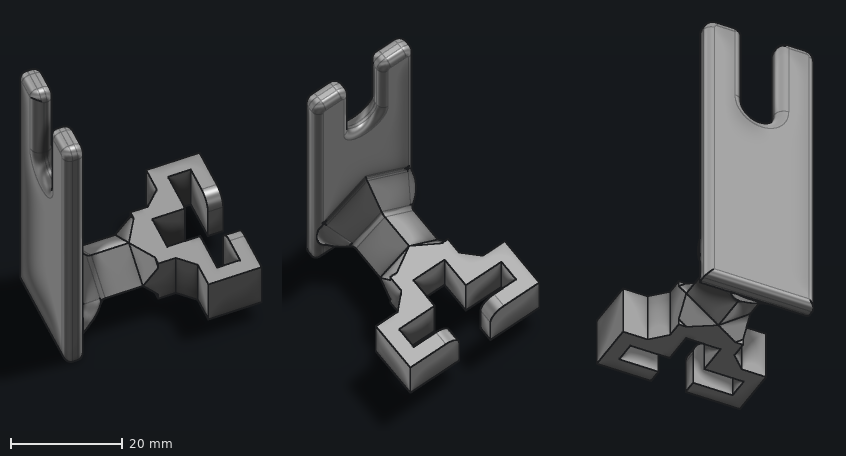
import cadquery as cq
import math

plate_width = 22.0
plate_height = 59.0
plate_thickness = 4.0
plate_corner_radius = 2.0
plate_edge_radius = 1.5

slot_width = 6.95
slot_straight_depth = 16.05
slot_front_radius = 1.95

wall = 3.0
clip_width = 28.9
clip_back = 37.0
clip_height = 10.0
clip_bottom = 4.0
channel_depth = 4.4
stem_slot_depth = 13.85
stem_slot_floor = clip_back - stem_slot_depth
stem_width = slot_width + 2 * wall
stem_axis_z = clip_bottom + clip_height / 2

diamond_half_x = stem_width / 2
diamond_half_z = clip_height / 2
diamond_edge = math.hypot(diamond_half_x, diamond_half_z)
normal_x = diamond_half_z / diamond_edge
normal_z = diamond_half_x / diamond_edge
diamond_start = stem_slot_floor - 2 * wall

flare_start = 9.15
flare_overlap = 0.3
flare_fillet_radius = 1.4
flare_angle = math.radians(45)
fillet_steps = 3
fillet_angles = [flare_angle * step / fillet_steps for step in range(fillet_steps + 1)]
fillet_reach = flare_fillet_radius * math.tan(flare_angle / 2)
stem_end = flare_start + fillet_reach

side_setback = 0.3
side_slope = 1.43
side_bow = 0.1186
bottom_setback = 2.05
bottom_slope = 0.94
bottom_bow = 0.04746


def section_plane(y):
    """Plane across the stem, centred on its axis and facing +Y."""
    return cq.Plane(origin=(0, y, stem_axis_z), xDir=(-1, 0, 0), normal=(0, 1, 0))


def slotted_slab(width, height):
    """Slab with a round-bottomed slot that is open at the top."""
    slot_radius = slot_width / 2
    slot_centre_z = plate_height - slot_straight_depth
    slot_rise = height - slot_centre_z
    slab = cq.Workplane("XY").box(width, plate_thickness, height, centered=(True, False, False))
    slot = (
        cq.Workplane("XZ", origin=(0, 0, slot_centre_z))
        .moveTo(-slot_radius, slot_rise)
        .lineTo(-slot_radius, 0)
        .threePointArc((0, -slot_radius), (slot_radius, 0))
        .lineTo(slot_radius, slot_rise)
        .close()
        .extrude(-plate_thickness)
    )
    return slab.cut(slot)


def make_plate():
    """Fork with rounded edges, trimmed by a larger slab whose slot has a bigger front round."""
    fork = slotted_slab(plate_width, plate_height)
    fork = fork.edges("|Y and >Z").fillet(plate_corner_radius)
    fork = fork.faces("<Y or >Y").edges().fillet(plate_edge_radius)

    trim_height = plate_height + plate_width
    slot_mouth = cq.selectors.BoxSelector(
        (-slot_width, -plate_edge_radius, plate_edge_radius),
        (slot_width, plate_edge_radius, trim_height - plate_edge_radius),
    )
    trim = slotted_slab(2 * plate_width, trim_height)
    trim = trim.faces("<Y").edges(slot_mouth).fillet(slot_front_radius)
    return fork.intersect(trim)


def make_clip():
    """Two-jawed clip with a rectangular stem; the tops of its lips are rounded."""
    half_slot = slot_width / 2
    half_stem = stem_width / 2
    half_clip = clip_width / 2
    half_channel = half_clip - wall
    lip_front = clip_back - wall
    channel_front = lip_front - channel_depth
    shoulder = channel_front - wall
    right_side = [
        (half_stem, stem_end),
        (half_stem, shoulder - wall),
        (half_stem + wall, shoulder),
        (half_clip, shoulder),
        (half_clip, clip_back),
        (half_slot, clip_back),
        (half_slot, lip_front),
        (half_channel, lip_front),
        (half_channel, channel_front),
        (half_slot, channel_front),
        (half_slot, stem_slot_floor),
    ]
    left_side = [(-x, y) for x, y in reversed(right_side)]
    clip = (
        cq.Workplane("XY", origin=(0, 0, clip_bottom))
        .polyline(right_side + left_side)
        .close()
        .extrude(clip_height)
    )
    lip_tops = cq.selectors.BoxSelector(
        (-half_stem, lip_front, stem_axis_z),
        (half_stem, clip_back, clip_bottom + 2 * clip_height),
    )
    return clip.edges("|Y").edges(lip_tops).fillet(wall)


def make_stem_corner_cut(side, level):
    """Wedge that trims one long stem corner to a diamond face, ending in a 45 degree bevel."""
    face_distance = diamond_half_x * normal_x
    outside = stem_width
    bevel_end = diamond_start + wall
    plane = cq.Plane(
        origin=(0, 0, stem_axis_z),
        xDir=(side * normal_x, 0, level * normal_z),
        normal=(-level * normal_z, 0, side * normal_x),
    )
    profile = [
        (face_distance, 0),
        (face_distance, diamond_start),
        (face_distance + wall, bevel_end),
        (outside, bevel_end),
        (outside, 0),
    ]
    return cq.Workplane(plane).polyline(profile).close().extrude(stem_width, both=True)


def side_point(offset):
    """Where a grown diamond face meets the round at the side."""
    x = diamond_half_x - side_setback * normal_z + offset * normal_x
    z = side_setback * normal_x + offset * normal_z
    return x, z


def grown_top(offset):
    """Height of the upper diamond corner when every face has moved out by offset."""
    return diamond_half_z + offset / normal_z


def diamond_section(y, offset):
    """Diamond with every face moved out by offset."""
    side = diamond_half_x + offset / normal_x
    top = grown_top(offset)
    corners = [(side, 0), (0, top), (-side, 0), (0, -top)]
    return cq.Workplane(section_plane(y)).polyline(corners).close().val()


def roof_section(y, offset):
    """Upper part of the grown diamond, between its rounded sides."""
    x, z = side_point(offset)
    corners = [(x, z), (0, grown_top(offset)), (-x, z)]
    return cq.Workplane(section_plane(y)).polyline(corners).close().val()


def flare_section(y, offset):
    """Grown diamond, sharp on top and rounded at the sides and the bottom."""
    side_x, side_z = side_point(offset)
    side_tip = diamond_half_x + side_slope * offset - side_bow * offset**2
    low_x = bottom_setback * normal_z + offset * normal_x
    low_z = -diamond_half_z + bottom_setback * normal_x - offset * normal_z
    low_tip = -diamond_half_z - bottom_slope * offset + bottom_bow * offset**2
    return (
        cq.Workplane(section_plane(y))
        .moveTo(0, grown_top(offset))
        .lineTo(side_x, side_z)
        .threePointArc((side_tip, 0), (side_x, -side_z))
        .lineTo(low_x, low_z)
        .threePointArc((0, low_tip), (-low_x, low_z))
        .lineTo(-side_x, -side_z)
        .threePointArc((-side_tip, 0), (-side_x, side_z))
        .close()
        .val()
    )


def make_flare():
    """Widening foot that starts at the neck round and ends inside the plate."""
    end_offset = flare_start - plate_thickness + flare_overlap
    start_offset = flare_fillet_radius * (1 - math.cos(flare_angle))
    offsets = (start_offset, (start_offset + end_offset) / 2, end_offset)
    sections = [flare_section(flare_start - offset, offset) for offset in offsets]
    return cq.Workplane(cq.Solid.makeLoft(sections))


def make_neck_fillet():
    """Concave round between the straight diamond and the flare."""
    sections = []
    for angle in fillet_angles:
        y = stem_end - flare_fillet_radius * math.sin(angle)
        offset = flare_fillet_radius * (1 - math.cos(angle))
        sections.append(diamond_section(y, offset))
    return cq.Workplane(cq.Solid.makeLoft(sections))


def make_foot_fillet():
    """Concave round between the upper flare faces and the back of the plate."""
    foot_offset = flare_start - plate_thickness + fillet_reach
    sections = []
    for angle in fillet_angles:
        y = plate_thickness + flare_fillet_radius * (1 - math.cos(angle))
        offset = foot_offset - flare_fillet_radius * math.sin(angle)
        sections.append(roof_section(y, offset))
    return cq.Workplane(cq.Solid.makeLoft(sections, True))


clip = make_clip()
for side in (-1, 1):
    for level in (-1, 1):
        clip = clip.cut(make_stem_corner_cut(side, level))

result = (
    make_plate()
    .union(make_flare())
    .union(make_foot_fillet())
    .union(make_neck_fillet())
    .union(clip)
)